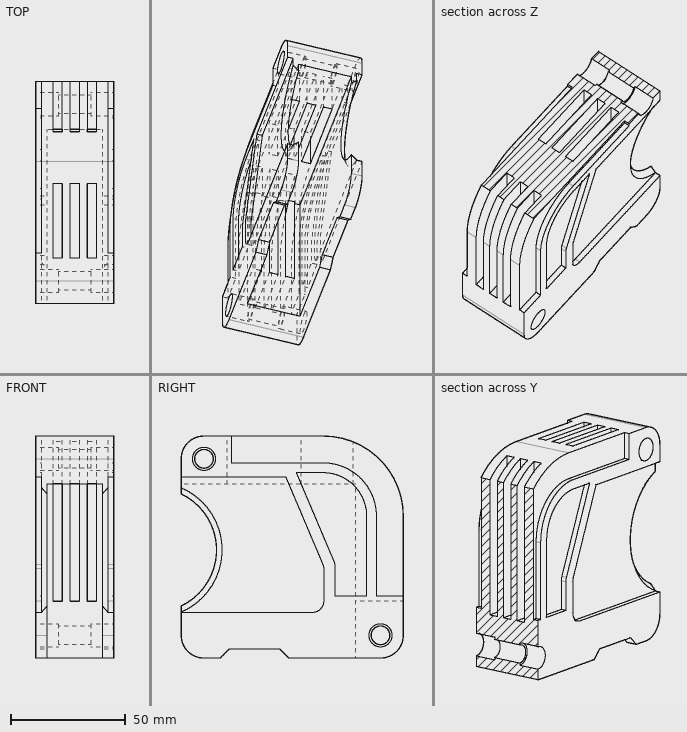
import cadquery as cq
import math

SIZE = 97.0
THICKNESS = 34.0
BIG_CORNER_RADIUS = 35.0
SMALL_CORNER_RADIUS = 10.0

CAVITY_WIDTH = 24.1
SOLID_RIM = 21.0
CAVITY_SIZE = SIZE - SOLID_RIM
SIDE_WALL = (THICKNESS - CAVITY_WIDTH) / 2

RECESS_DEPTH = 2.5
RIB_WIDTH = 4.9
RECESS_FILLET = 4.9
EDGE_RECESS_WIDTH = 11.7
EDGE_RECESS_FRONT = 22.0
UPPER_RECESS_BOTTOM = 27.1
CURVED_RIB_WIDTH = 4.3
MIDDLE_RECESS_INSET = EDGE_RECESS_WIDTH + CURVED_RIB_WIDTH
FRONT_RECESS_BACK = 62.3
FRONT_RECESS_BOTTOM = 20.0
FRONT_RECESS_TOP = 79.2
BEND_HEIGHT = 40.1
SLANT_ANGLE = math.radians(23)

OPENING_RADIUS = 27.1
OPENING_Y = -11.6
OPENING_Z = 47.2
BEVEL = SIDE_WALL - RECESS_DEPTH

NOTCH_CENTER_Y = 32.0
NOTCH_TOP_LENGTH = 22.0
NOTCH_DEPTH = 4.0

SLOT_COUNT = 3
SLOT_WIDTH = 4.0
SLOT_PITCH = 7.5
TOP_SLOT_FRONT = 20.0
TOP_SLOT_LENGTH = 32.4
BACK_SLOT_BOTTOM = 24.9
BACK_SLOT_OVERLAP = 1.0

BOLT_DIAMETER = 8.05
COUNTERBORE_DIAMETER = 10.1
COUNTERBORE_DEPTH = 10.0


def block(x_range, y_range, z_range):
    """Axis-aligned box given by its limits on each axis."""
    ranges = (x_range, y_range, z_range)
    lengths = [high - low for low, high in ranges]
    return cq.Workplane("XY").box(*lengths, centered=False).translate([low for low, high in ranges])


def side_sketch(x):
    """Workplane facing +X at the given x; its axes are Y and Z."""
    return cq.Workplane("YZ", origin=(x, 0, 0))


def rounded_square(inset, thickness):
    """Square inset from the back and top edges, with the big corner kept concentric."""
    edge = SIZE - inset
    return (
        side_sketch(-thickness / 2)
        .rect(edge, edge, centered=False)
        .extrude(thickness)
        .edges("|X and >Y and >Z")
        .fillet(BIG_CORNER_RADIUS - inset)
    )


def make_body():
    body = rounded_square(0, THICKNESS)
    body = body.edges("|X and (<Y or <Z)").fillet(SMALL_CORNER_RADIUS)
    half_width = CAVITY_WIDTH / 2
    return body.cut(block((-half_width, half_width), (0, CAVITY_SIZE), (0, CAVITY_SIZE)))


def edge_recess():
    """Band that follows the back and top edges around the big corner."""
    band = rounded_square(0, THICKNESS).cut(rounded_square(EDGE_RECESS_WIDTH, THICKNESS))
    half = THICKNESS / 2
    return band.intersect(block((-half, half), (EDGE_RECESS_FRONT, SIZE), (UPPER_RECESS_BOTTOM, SIZE)))


def slanted_edge(back, bend, z):
    """Y of the slanted edge at height z, when it leaves y = back at height bend."""
    return back - (z - bend) * math.tan(SLANT_ANGLE)


def middle_recess():
    """Pocket between the curved rib and the slanted rib."""
    front = FRONT_RECESS_BACK + RIB_WIDTH
    bend = BEND_HEIGHT + RIB_WIDTH * math.tan(SLANT_ANGLE / 2)
    region = (
        side_sketch(-THICKNESS / 2)
        .moveTo(front, UPPER_RECESS_BOTTOM)
        .lineTo(SIZE, UPPER_RECESS_BOTTOM)
        .lineTo(SIZE, SIZE)
        .lineTo(slanted_edge(front, bend, SIZE), SIZE)
        .lineTo(front, bend)
        .close()
        .extrude(THICKNESS)
    )
    bend_edge = cq.selectors.NearestToPointSelector((0, front, bend))
    region = region.edges("|X").edges(bend_edge).fillet(RECESS_FILLET)
    return region.intersect(rounded_square(MIDDLE_RECESS_INSET, THICKNESS))


def front_recess():
    """Large pocket in front of the slanted rib, open at the front edge."""
    region = (
        side_sketch(-THICKNESS / 2)
        .moveTo(0, FRONT_RECESS_BOTTOM)
        .lineTo(FRONT_RECESS_BACK, FRONT_RECESS_BOTTOM)
        .lineTo(FRONT_RECESS_BACK, BEND_HEIGHT)
        .lineTo(slanted_edge(FRONT_RECESS_BACK, BEND_HEIGHT, FRONT_RECESS_TOP), FRONT_RECESS_TOP)
        .lineTo(0, FRONT_RECESS_TOP)
        .close()
        .extrude(THICKNESS)
    )
    for z in (FRONT_RECESS_BOTTOM, BEND_HEIGHT):
        corner = cq.selectors.NearestToPointSelector((0, FRONT_RECESS_BACK, z))
        region = region.edges("|X").edges(corner).fillet(RECESS_FILLET)
    return region


def cut_side_recesses(body):
    """Sink the three recesses into both side faces."""
    core_half = THICKNESS / 2 - RECESS_DEPTH
    core = block((-core_half, core_half), (0, SIZE), (0, SIZE))
    for recess in (edge_recess(), middle_recess(), front_recess()):
        body = body.cut(recess.cut(core))
    return body


def cut_front_opening(body):
    """Round mouth in both side walls, widening outwards from the cavity."""
    opening = (
        side_sketch(CAVITY_WIDTH / 2)
        .center(OPENING_Y, OPENING_Z)
        .circle(OPENING_RADIUS)
        .workplane(offset=BEVEL)
        .circle(OPENING_RADIUS + BEVEL)
        .loft()
    )
    return body.cut(opening).cut(opening.mirror("YZ"))


def cut_bottom_notch(body):
    half_top = NOTCH_TOP_LENGTH / 2
    half_bottom = half_top + NOTCH_DEPTH
    notch = (
        side_sketch(-THICKNESS / 2)
        .moveTo(NOTCH_CENTER_Y - half_bottom, 0)
        .lineTo(NOTCH_CENTER_Y + half_bottom, 0)
        .lineTo(NOTCH_CENTER_Y + half_top, NOTCH_DEPTH)
        .lineTo(NOTCH_CENTER_Y - half_top, NOTCH_DEPTH)
        .close()
        .extrude(THICKNESS)
    )
    return body.cut(notch)


def cut_vent_slots(body):
    """Rows of slots through the top rim and through the back rim up into the big corner."""
    for index in range(SLOT_COUNT):
        center = (index - (SLOT_COUNT - 1) / 2) * SLOT_PITCH
        x_range = (center - SLOT_WIDTH / 2, center + SLOT_WIDTH / 2)
        top_range = (TOP_SLOT_FRONT, TOP_SLOT_FRONT + TOP_SLOT_LENGTH)
        back_range = (CAVITY_SIZE - BACK_SLOT_OVERLAP, SIZE)
        body = body.cut(block(x_range, top_range, (CAVITY_SIZE, SIZE)))
        body = body.cut(block(x_range, back_range, (BACK_SLOT_BOTTOM, SIZE)))
    return body


def cut_bolt_holes(body):
    """Through holes along X, counterbored from both sides."""
    near = SMALL_CORNER_RADIUS
    far = SIZE - SMALL_CORNER_RADIUS
    centers = [(near, far), (far, near)]
    half = THICKNESS / 2
    bolts = side_sketch(-half).pushPoints(centers).circle(BOLT_DIAMETER / 2).extrude(THICKNESS)
    body = body.cut(bolts)
    for x in (-half, half - COUNTERBORE_DEPTH):
        bores = side_sketch(x).pushPoints(centers).circle(COUNTERBORE_DIAMETER / 2)
        body = body.cut(bores.extrude(COUNTERBORE_DEPTH))
    return body


result = make_body()
result = cut_side_recesses(result)
result = cut_front_opening(result)
result = cut_bottom_notch(result)
result = cut_vent_slots(result)
result = cut_bolt_holes(result)